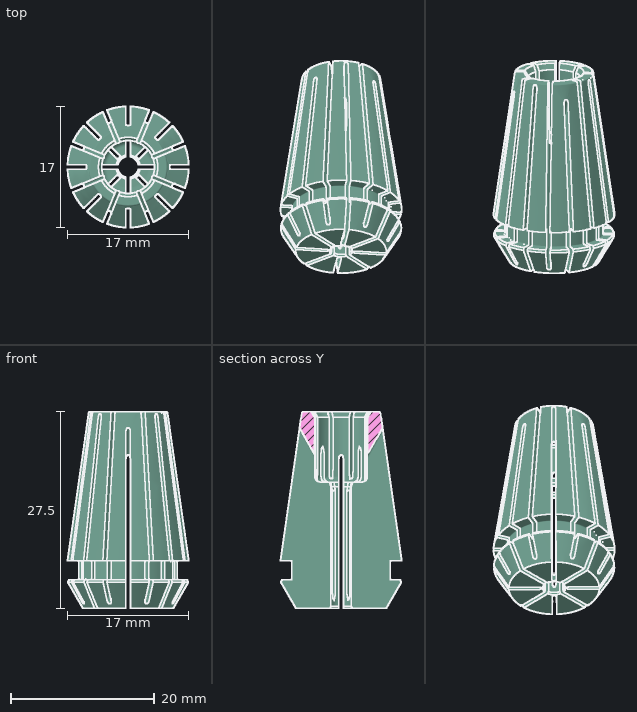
import cadquery as cq
import math

length = 27.5
top_radius = 5.5
max_radius = 8.5
top_edge_fillet = 0.25

nose_bottom_radius = 6.32
nose_rim_radius = 8.45
nose_half_angle = 30.0
rim_bevel = 0.2

groove_bottom = 4.02
groove_top = 6.65
groove_radius = 6.9
groove_fillet = 0.15

clamp_radius = 1.45
clamp_foot_bevel = 0.15
clamp_foot_bevel_height = 0.3
clamp_top_bevel = 0.22
clamp_top_bevel_height = 0.63
relief_radius = 3.68
relief_floor = 17.65
relief_fillet = 0.8
mouth_radius = 4.15
mouth_half_angle = 30.0

slot_width = 0.6
blade_size = 3 * length
slots_per_set = 4

long_floor_point = (relief_radius, 21.45)
long_floor_angle = 60.5

diagonal_floor_point = (relief_radius, 22.5)
diagonal_floor_angle = 68.5
diagonal_land_point = (1.7, relief_floor)
diagonal_land_angle = 78.0
diagonal_foot_point = (1.8, 0.0)
diagonal_foot_angle = 105.0

top_floor_point = (3.6, 18.15)
top_floor_angle = 100.0


def cone_run(radial_step, half_angle):
    """Axial length over which a cone changes radius by radial_step."""
    return radial_step / math.tan(math.radians(half_angle))


def collet_body():
    profile = [
        (clamp_radius, clamp_foot_bevel_height),
        (clamp_radius + clamp_foot_bevel, 0),
        (nose_bottom_radius, 0),
        (nose_rim_radius, cone_run(nose_rim_radius - nose_bottom_radius, nose_half_angle)),
        (nose_rim_radius - rim_bevel, groove_bottom),
        (groove_radius, groove_bottom),
        (groove_radius, groove_top),
        (max_radius, groove_top),
        (top_radius, length),
        (mouth_radius, length),
        (relief_radius, length - cone_run(mouth_radius - relief_radius, mouth_half_angle)),
        (relief_radius, relief_floor),
        (clamp_radius + clamp_top_bevel, relief_floor),
        (clamp_radius, relief_floor - clamp_top_bevel_height),
    ]
    body = cq.Workplane("XZ").polyline(profile).close().revolve(360, (0, 0, 0), (0, 1, 0))

    def circle_at(radius, height):
        return body.edges("%CIRCLE").filter(
            lambda edge: abs(edge.radius() - radius) < 0.003 and abs(edge.Center().z - height) < 0.003
        )

    for radius, height, fillet in [
        (top_radius, length, top_edge_fillet),
        (groove_radius, groove_bottom, groove_fillet),
        (groove_radius, groove_top, groove_fillet),
        (relief_radius, relief_floor, relief_fillet),
    ]:
        body = circle_at(radius, height).fillet(fillet)
    return body


def saw_blade(floor_point, angle, rounded=True):
    """Blade on the +X side, its edge along the slot floor and either fully rounded or square."""
    half_width = slot_width / 2
    blade = cq.Workplane("XY").workplane(offset=-blade_size / 2)
    if rounded:
        blade = blade.moveTo(half_width, -half_width)
        blade = blade.threePointArc((0, 0), (half_width, half_width))
    else:
        blade = blade.moveTo(0, -half_width).lineTo(0, half_width)
    blade = blade.lineTo(blade_size, half_width).lineTo(blade_size, -half_width).close()
    blade = blade.extrude(blade_size).rotate((0, 0, 0), (0, 1, 0), 90 - angle)
    radius, height = floor_point
    return blade.translate((radius, 0, height))


def relief_core():
    """Cylinder filling everything inside the radius of the relief bore."""
    return cq.Workplane("XY").circle(relief_radius).extrude(length)


def cut_around(body, cutter, count, start_angle):
    for index in range(count):
        turn = start_angle + index * 360 / count
        body = body.cut(cutter.rotate((0, 0, 0), (0, 0, 1), turn))
    return body


def cut_long_slots(body):
    outer_blade = saw_blade(long_floor_point, long_floor_angle)
    inner_blade = saw_blade(long_floor_point, long_floor_angle, rounded=False).intersect(relief_core())
    body = cut_around(body, outer_blade, slots_per_set, 0)
    return cut_around(body, inner_blade, slots_per_set, 0)


def cut_diagonal_slots(body):
    start_angle = 180 / slots_per_set
    outer_blade = saw_blade(diagonal_floor_point, diagonal_floor_angle).cut(relief_core())
    foot_blade = saw_blade(diagonal_foot_point, diagonal_foot_angle)
    land_blade = saw_blade(diagonal_land_point, diagonal_land_angle, rounded=False)
    inner_blade = land_blade.intersect(foot_blade).intersect(relief_core())
    body = cut_around(body, outer_blade, slots_per_set, start_angle)
    return cut_around(body, inner_blade, slots_per_set, start_angle)


def cut_top_slots(body):
    count = 2 * slots_per_set
    blade = saw_blade(top_floor_point, top_floor_angle)
    return cut_around(body, blade, count, 180 / count)


result = collet_body()
result = cut_long_slots(result)
result = cut_diagonal_slots(result)
result = cut_top_slots(result)